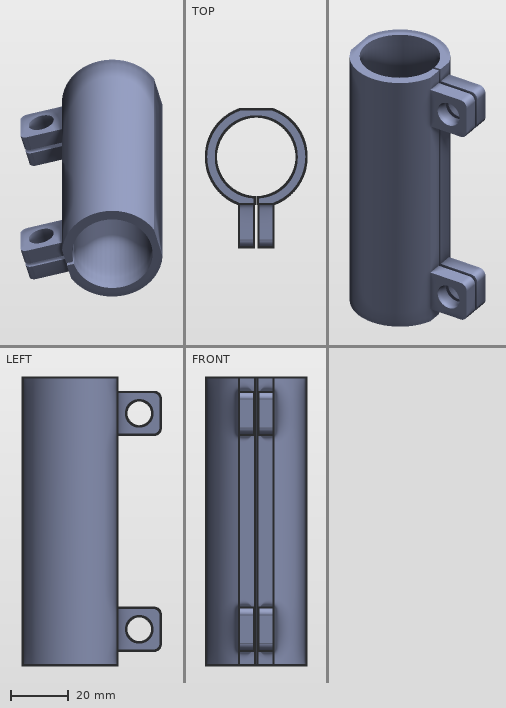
import cadquery as cq
import math

tube_length = 100.0
overall_depth = 48.0
outer_diameter = 35.0
bore_diameter = 28.0
slit_width = 1.0

lug_size = 15.0
lug_inner_x = 0.7
lug_outer_x = 6.0
lug_corner_radius = 2.5
lug_end_margin = 5.0
bolt_hole_diameter = 9.0

front_flat_y = -math.sqrt((outer_diameter / 2) ** 2 - lug_outer_x**2)
back_flat_y = overall_depth - lug_size + front_flat_y
flat_center_y = (front_flat_y + back_flat_y) / 2
lug_thickness = lug_outer_x - lug_inner_x
lug_center_x = (lug_inner_x + lug_outer_x) / 2
lug_center_y = front_flat_y - lug_size / 2
lug_center_z = tube_length / 2 - lug_end_margin - lug_size / 2


def make_tube():
    """Tube with front and back flats, slit along its front wall."""
    body = cq.Workplane("XY").cylinder(tube_length, outer_diameter / 2)
    flats_block = (
        cq.Workplane("XY")
        .box(outer_diameter, back_flat_y - front_flat_y, tube_length)
        .translate((0, flat_center_y, 0))
    )
    bore = cq.Workplane("XY").cylinder(tube_length, bore_diameter / 2)
    slit = (
        cq.Workplane("XY")
        .box(slit_width, outer_diameter / 2, tube_length)
        .translate((0, -outer_diameter / 4, 0))
    )
    return body.intersect(flats_block).cut(bore).cut(slit)


def make_lug(side, end):
    """Square lug with rounded free corners and a bolt hole along X."""
    lug = (
        cq.Workplane("XY")
        .box(lug_thickness, lug_size, lug_size)
        .faces("<Y")
        .edges("|X")
        .fillet(lug_corner_radius)
    )
    hole = cq.Workplane("YZ").circle(bolt_hole_diameter / 2).extrude(lug_thickness, both=True)
    return lug.cut(hole).translate((side * lug_center_x, lug_center_y, end * lug_center_z))


tube = make_tube()
lugs = [make_lug(side, end) for side in (-1, 1) for end in (-1, 1)]

result = cq.Compound.makeCompound([tube.val(), *[lug.val() for lug in lugs]])